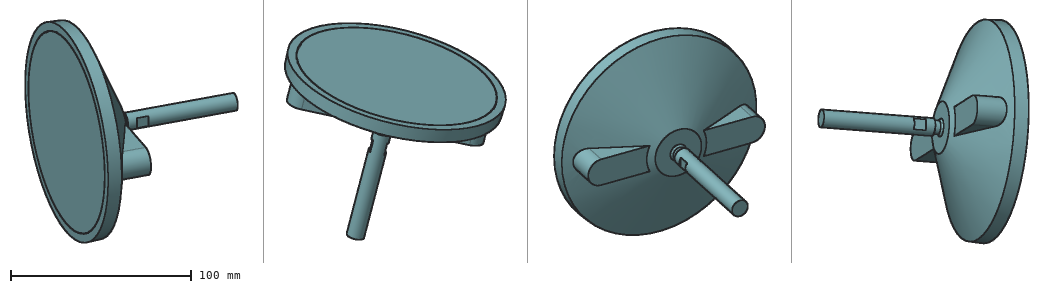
import cadquery as cq

base_radius = 62.0
rim_back_radius = 61.6
rim_depth = 8.2
cone_top_radius = 14.6
cone_top = 30.0

groove_outer_diameter = 114.0
groove_inner_diameter = 113.5
groove_depth = 1.0

bar_length = 111.8
bar_width = 16.5
bar_back = 28.0

ball_diameter = 12.5
neck_diameter = 7.8
shaft_diameter = 10.0
shaft_start = 34.7
shaft_end = 100.0
flat_start = 40.0
flat_length = 7.0
across_flats = 7.9

ball_radius = ball_diameter / 2
neck_radius = neck_diameter / 2
neck_start = 31.2
ball_center = neck_start - (ball_radius**2 - neck_radius**2) ** 0.5


def cylinder(diameter, start, end):
    """Cylinder on the Y axis between two Y positions."""
    return cq.Workplane("XZ", origin=(0, start, 0)).circle(diameter / 2).extrude(start - end)


def make_base():
    """Slightly tapered rim and cone as one turned body."""
    profile = [
        (0, 0),
        (base_radius, 0),
        (rim_back_radius, rim_depth),
        (cone_top_radius, cone_top),
        (0, cone_top),
    ]
    return cq.Workplane("XY").polyline(profile).close().revolve(360, (0, 0), (0, 1))


def make_groove():
    """Thin ring cut into the flat face."""
    outer = cylinder(groove_outer_diameter, 0, groove_depth)
    return outer.cut(cylinder(groove_inner_diameter, 0, groove_depth))


def make_bar():
    """Rounded bar across the cone, starting inside the rim."""
    return (
        cq.Workplane("XZ", origin=(0, rim_depth / 2, 0))
        .slot2D(bar_length, bar_width)
        .extrude(rim_depth / 2 - bar_back)
    )


def make_spindle():
    """Ball, neck and shaft with two opposite wrench flats."""
    ball = cq.Workplane("XY").sphere(ball_radius).translate((0, ball_center, 0))
    neck = cylinder(neck_diameter, ball_center, shaft_start)
    shaft = cylinder(shaft_diameter, shaft_start, shaft_end)
    for side in (-1, 1):
        flat = cq.Workplane("XY").box(shaft_diameter, flat_length, shaft_diameter)
        flat_x = side * (across_flats + shaft_diameter) / 2
        shaft = shaft.cut(flat.translate((flat_x, flat_start + flat_length / 2, 0)))
    return ball.union(neck).union(shaft)


result = make_base().cut(make_groove()).union(make_bar()).union(make_spindle())